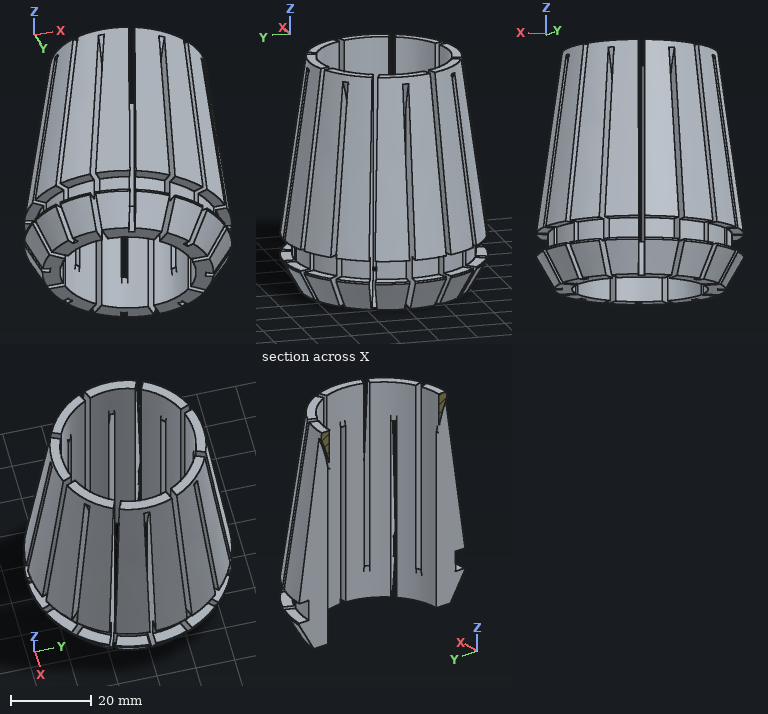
import cadquery as cq
import math

length = 60.0
rim_radius = 26.0
bore_radius = 17.0

taper_angle = 8.0
taper_base_z = 14.0

groove_radius = 23.0
groove_base_z = 8.5
land_height = 0.5
nose_angle = 30.0
nose_top_z = groove_base_z - land_height

slots_per_set = 8
slot_width = 1.5
slot_pitch = 360.0 / slots_per_set

slot_end_outer_z = 58.2
slot_end_bore_z = 49.2
slot_end_arc_radius = 32.0

slot_floor_bore_z = 9.0
slot_floor_bottom_radius = 19.5

overrun = 5.0


def taper_radius(z):
    """Outer radius of the long taper at height z."""
    return rim_radius - (z - taper_base_z) * math.tan(math.radians(taper_angle))


def make_body():
    """Revolved collet sleeve, before slotting."""
    nose_radius = rim_radius - nose_top_z * math.tan(math.radians(nose_angle))
    profile = [
        (bore_radius, 0),
        (nose_radius, 0),
        (rim_radius, nose_top_z),
        (rim_radius, groove_base_z),
        (groove_radius, groove_base_z),
        (groove_radius, taper_base_z),
        (rim_radius, taper_base_z),
        (taper_radius(length), length),
        (bore_radius, length),
    ]
    return cq.Workplane("XZ").polyline(profile).close().revolve(360, (0, 0), (0, 1))


def lower_slot_cutter():
    """Radial cutter along +X, open at the bottom, with an arc-shaped upper end."""
    bore_point = (bore_radius, slot_end_bore_z)
    outer_point = (taper_radius(slot_end_outer_z), slot_end_outer_z)
    far_radius = rim_radius + overrun
    inner_radius = bore_radius - overrun
    return (
        cq.Workplane("XZ")
        .moveTo(inner_radius, -overrun)
        .lineTo(inner_radius, slot_end_bore_z)
        .lineTo(*bore_point)
        .radiusArc(outer_point, slot_end_arc_radius)
        .lineTo(far_radius, slot_end_outer_z)
        .lineTo(far_radius, -overrun)
        .close()
        .extrude(slot_width / 2, both=True)
    )


def upper_slot_cutter():
    """Radial cutter along +X, open at the top, whose floor falls away to the bottom face."""
    bore_point = (bore_radius, slot_floor_bore_z)
    bottom_point = (slot_floor_bottom_radius, 0)
    far_radius = rim_radius + overrun
    inner_radius = bore_radius - overrun
    return (
        cq.Workplane("XZ")
        .moveTo(inner_radius, length + overrun)
        .lineTo(inner_radius, slot_floor_bore_z)
        .lineTo(*bore_point)
        .radiusArc(bottom_point, -slot_end_arc_radius)
        .lineTo(slot_floor_bottom_radius, -overrun)
        .lineTo(far_radius, -overrun)
        .lineTo(far_radius, length + overrun)
        .close()
        .extrude(slot_width / 2, both=True)
    )


def cut_slots(body, cutter, start_angle):
    """Cut one evenly spaced set of slots, the first at start_angle from +X."""
    for index in range(slots_per_set):
        angle = start_angle + index * slot_pitch
        body = body.cut(cutter.rotate((0, 0, 0), (0, 0, 1), angle))
    return body


result = make_body()
result = cut_slots(result, lower_slot_cutter(), 0)
result = cut_slots(result, upper_slot_cutter(), slot_pitch / 2)